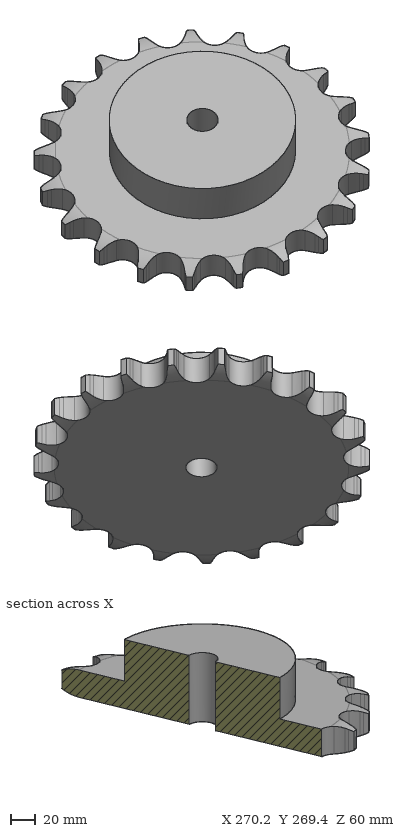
import math

import cadquery as cq

TEETH = 21
PITCH = 38.1
ROLLER_DIAMETER = 25.4
OUTER_RADIUS = 135.3
RIM_WIDTH = 24.1
SIDE_CROWN_DEPTH = 4.0
SIDE_CROWN_RADIUS = 38.0

HUB_DIAMETER = 150.0
BORE_DIAMETER = 25.0
TOTAL_HEIGHT = 60.0

SEAT_CLEARANCE = 0.038
SEAT_RADIUS = 0.5025 * ROLLER_DIAMETER + SEAT_CLEARANCE
SEAT_LIMIT_ANGLE = math.radians(35 + 60 / TEETH)
WORKING_SWEEP = math.radians(18 - 56 / TEETH)
TOPPING_ANGLE = math.radians(17 - 64 / TEETH)
WORKING_RADIUS = 1.3025 * ROLLER_DIAMETER + SEAT_CLEARANCE
WORKING_CENTER_OFFSET = 0.8 * ROLLER_DIAMETER
TOPPING_CENTER_OFFSET = 1.4 * ROLLER_DIAMETER
FLAT_LENGTH = (
    TOPPING_CENTER_OFFSET * math.sin(TOPPING_ANGLE)
    - WORKING_CENTER_OFFSET * math.sin(WORKING_SWEEP)
)
TOPPING_RADIUS = (
    WORKING_CENTER_OFFSET * math.cos(WORKING_SWEEP)
    + TOPPING_CENTER_OFFSET * math.cos(TOPPING_ANGLE)
    - WORKING_RADIUS
)

PITCH_RADIUS = PITCH / (2 * math.sin(math.pi / TEETH))
TOOTH_ANGLE = 360 / TEETH
SIDE_CROWN_WIDTH = math.sqrt(SIDE_CROWN_RADIUS**2 - (SIDE_CROWN_RADIUS - SIDE_CROWN_DEPTH) ** 2)
TOPPING_SWEEP = math.radians(34)


def on_circle(center, radius, angle):
    return (center[0] + radius * math.cos(angle), center[1] + radius * math.sin(angle))


def mirrored(point):
    return (-point[0], point[1])


def tooth_gap():
    """Cutter for the gap centred on +Y; its flanks end outside the blank."""
    seat_center = (0, PITCH_RADIUS)
    root = on_circle(seat_center, SEAT_RADIUS, -math.pi / 2)
    seat_end = on_circle(seat_center, SEAT_RADIUS, -SEAT_LIMIT_ANGLE)

    working_center = on_circle(seat_center, WORKING_CENTER_OFFSET, math.pi - SEAT_LIMIT_ANGLE)
    flat_normal = WORKING_SWEEP - SEAT_LIMIT_ANGLE
    working_middle = on_circle(working_center, WORKING_RADIUS, flat_normal - WORKING_SWEEP / 2)
    working_end = on_circle(working_center, WORKING_RADIUS, flat_normal)

    flat_end = on_circle(working_end, FLAT_LENGTH, flat_normal + math.pi / 2)
    topping_center = on_circle(flat_end, TOPPING_RADIUS, flat_normal)
    topping_start = flat_normal + math.pi
    topping_middle = on_circle(topping_center, TOPPING_RADIUS, topping_start - TOPPING_SWEEP / 2)
    topping_end = on_circle(topping_center, TOPPING_RADIUS, topping_start - TOPPING_SWEEP)

    return (
        cq.Workplane("XY")
        .moveTo(*mirrored(seat_end))
        .threePointArc(root, seat_end)
        .threePointArc(working_middle, working_end)
        .lineTo(*flat_end)
        .threePointArc(topping_middle, topping_end)
        .lineTo(*mirrored(topping_end))
        .threePointArc(mirrored(topping_middle), mirrored(flat_end))
        .lineTo(*mirrored(working_end))
        .threePointArc(mirrored(working_middle), mirrored(seat_end))
        .close()
        .extrude(RIM_WIDTH)
    )


def rim_blank():
    """Disc whose two sides curve inwards to the tooth tips, tangent to the flat faces."""
    face_radius = OUTER_RADIUS - SIDE_CROWN_WIDTH
    half_sweep = math.asin(SIDE_CROWN_WIDTH / SIDE_CROWN_RADIUS) / 2
    lower_middle = on_circle((face_radius, SIDE_CROWN_RADIUS), SIDE_CROWN_RADIUS, half_sweep - math.pi / 2)
    upper_middle = (lower_middle[0], RIM_WIDTH - lower_middle[1])
    return (
        cq.Workplane("XZ")
        .moveTo(0, 0)
        .lineTo(face_radius, 0)
        .threePointArc(lower_middle, (OUTER_RADIUS, SIDE_CROWN_DEPTH))
        .lineTo(OUTER_RADIUS, RIM_WIDTH - SIDE_CROWN_DEPTH)
        .threePointArc(upper_middle, (face_radius, RIM_WIDTH))
        .lineTo(0, RIM_WIDTH)
        .close()
        .revolve(360, (0, 0, 0), (0, 1, 0))
    )


def cut_teeth(body):
    gap = tooth_gap()
    for index in range(TEETH):
        body = body.cut(gap.rotate((0, 0, 0), (0, 0, 1), index * TOOTH_ANGLE))
    return body


hub = cq.Workplane("XY").circle(HUB_DIAMETER / 2).extrude(TOTAL_HEIGHT)
bore = cq.Workplane("XY").circle(BORE_DIAMETER / 2).extrude(TOTAL_HEIGHT)
result = cut_teeth(rim_blank().union(hub).cut(bore))